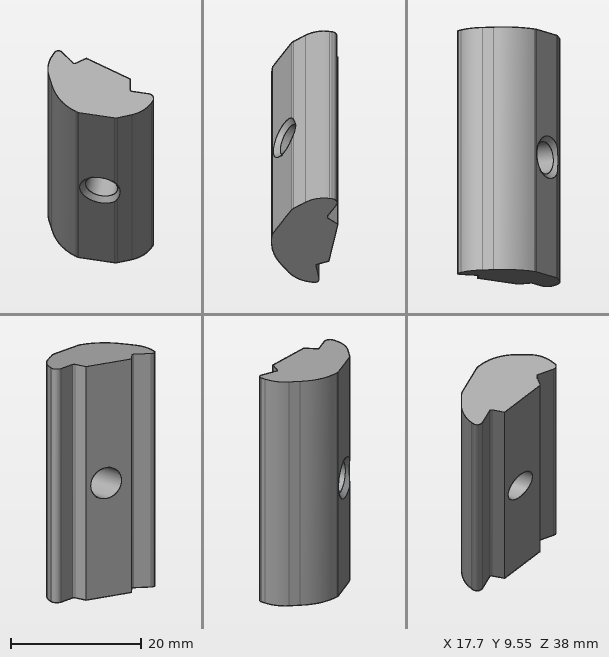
import cadquery as cq
import math

width = 17.67
depth = 9.55
length = 38.0
half_width = width / 2

rib_half_width = 3.9
rib_center_x = -0.15
rib_flank_angle = math.radians(60)
wing_corner_y = -0.55
root_radius = 0.3
left_tip_radius = 0.7
right_tip_radius = 0.9

side_radius = 5.0
side_arc_start_y = -2.2

front_arc_start_x = -6.15
front_arc_end_x = -0.3
front_flat_end_x = 0.05
face_end_x = 5.4
face_angle = math.radians(20)
facet_end_x = 5.78

hole_diameter = 5.0
countersink_diameter = 6.57
hole_x = 3.35
hole_z = length / 2 - 0.5


def arc_point(center, radius, degrees):
    angle = math.radians(degrees)
    return (center[0] + radius * math.cos(angle), center[1] + radius * math.sin(angle))


def wing_root(side):
    """Sharp intersection of a rib flank and a wing; side is -1 left, +1 right."""
    rib_edge = rib_half_width + side * rib_center_x
    flank_slope = math.tan(rib_flank_angle)
    wing_slope = math.tan(face_angle)
    x = (flank_slope * rib_edge + wing_slope * half_width - wing_corner_y) / (flank_slope + wing_slope)
    return (side * x, -flank_slope * (x - rib_edge))


def face_y(x):
    """Y of the inclined drilling face at a given X."""
    return -depth + (x - front_flat_end_x) * math.tan(face_angle)


left_root = wing_root(-1)
right_root = wing_root(1)
left_corner = (-half_width, wing_corner_y)
right_corner = (half_width, wing_corner_y)


def make_body():
    left_center = (side_radius - half_width, side_arc_start_y)
    right_center = (half_width - side_radius, side_arc_start_y)
    right_flat_start = arc_point(right_center, side_radius, -45)

    flat_reach = math.sqrt(2) * side_radius - left_center[0] - left_center[1]
    front_arc_start_y = -flat_reach - front_arc_start_x
    arc_run = front_arc_end_x - front_arc_start_x
    arc_rise = front_arc_start_y + depth
    front_radius = (arc_run**2 + arc_rise**2) / (2 * arc_rise)
    front_center = (front_arc_end_x, front_radius - depth)
    front_sweep = math.degrees(math.asin(arc_run / front_radius))

    facet_end_y = right_flat_start[1] - (right_flat_start[0] - facet_end_x)
    body = (
        cq.Workplane("XY")
        .moveTo(rib_center_x - rib_half_width, 0)
        .lineTo(*left_root)
        .lineTo(*left_corner)
        .lineTo(-half_width, side_arc_start_y)
        .threePointArc(
            arc_point(left_center, side_radius, -157.5),
            arc_point(left_center, side_radius, -135),
        )
        .lineTo(front_arc_start_x, front_arc_start_y)
        .threePointArc(
            arc_point(front_center, front_radius, -90 - front_sweep / 2),
            (front_arc_end_x, -depth),
        )
        .lineTo(front_flat_end_x, -depth)
        .lineTo(face_end_x, face_y(face_end_x))
        .lineTo(facet_end_x, facet_end_y)
        .lineTo(*right_flat_start)
        .threePointArc(
            arc_point(right_center, side_radius, -22.5),
            (half_width, side_arc_start_y),
        )
        .lineTo(*right_corner)
        .lineTo(*right_root)
        .lineTo(rib_center_x + rib_half_width, 0)
        .close()
        .extrude(length)
    )
    edge_radii = (
        (left_root, root_radius),
        (right_root, root_radius),
        (left_corner, left_tip_radius),
        (right_corner, right_tip_radius),
    )
    for (x, y), radius in edge_radii:
        edge = cq.selectors.NearestToPointSelector((x, y, length / 2))
        body = body.edges("|Z").edges(edge).fillet(radius)
    return body


def make_hole():
    inward = cq.Vector(-math.sin(face_angle), math.cos(face_angle), 0)
    mouth = cq.Vector(hole_x, face_y(hole_x), hole_z)
    drill = cq.Solid.makeCylinder(hole_diameter / 2, 2 * depth, mouth - inward * depth / 2, inward)

    clearance = 0.75
    outer_radius = countersink_diameter / 2 + clearance
    cone_depth = outer_radius - hole_diameter / 2
    cone = cq.Solid.makeCone(
        outer_radius, hole_diameter / 2, cone_depth, mouth - inward * clearance, inward
    )
    return drill.fuse(cone)


result = make_body().cut(cq.Workplane(obj=make_hole()))